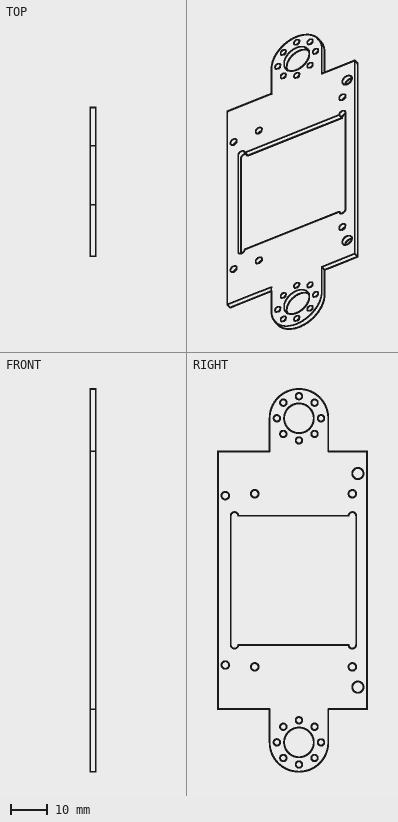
import cadquery as cq

thickness = 1.5
body_width = 40.5
body_height = 70.0
overall_height = 104.0
side_edge = body_width / 2

lug_radius = 8.0
lug_inset = 18.5
lug_y = side_edge - lug_inset
lug_z = overall_height / 2 - lug_radius
lug_bore_diameter = 8.0
lug_hole_diameter = 1.7
lug_hole_circle_radius = 6.0
lug_hole_count = 8

window_width = 34.0
window_height = 35.0
window_inset = 3.0
window_max_y = side_edge - window_inset
window_min_y = window_max_y - window_width
window_y = (window_max_y + window_min_y) / 2
relief_diameter = 2.0
relief_radius = relief_diameter / 2

small_hole_diameter = 2.0
inner_hole_z = 23.5
inner_hole_inset = 4.0
inner_max_y = side_edge - inner_hole_inset
inner_hole_spacing = 26.5
inner_min_y = inner_max_y - inner_hole_spacing
edge_hole_inset = 2.0
edge_hole_y = -side_edge + edge_hole_inset
edge_hole_z = 23.0
large_hole_diameter = 3.0
large_hole_inset = 2.5
large_hole_y = side_edge - large_hole_inset
large_hole_z = 29.0


def plate_plane(y=0.0, z=0.0):
    """Sketch plane on the -X face, with local axes along +Y and +Z."""
    return cq.Workplane("YZ", origin=(-thickness / 2, y, z))


def mirrored_points(y_positions, z):
    """Points at each Y position, both above and below Z = 0."""
    return [(y, side * z) for y in y_positions for side in (1, -1)]


def discs(points, diameter):
    """Full-thickness discs centred on the given points."""
    return plate_plane().pushPoints(points).circle(diameter / 2).extrude(thickness)


def make_outline():
    body = plate_plane().rect(body_width, body_height).extrude(thickness)
    lug_straights = plate_plane(lug_y).rect(2 * lug_radius, 2 * lug_z).extrude(thickness)
    lug_ends = discs(mirrored_points([lug_y], lug_z), 2 * lug_radius)
    return body.union(lug_straights).union(lug_ends)


def cut_lug_holes(plate):
    for side in (1, -1):
        lug_plane = plate_plane(lug_y, side * lug_z)
        bore = lug_plane.circle(lug_bore_diameter / 2).extrude(thickness)
        ring = (
            lug_plane.polarArray(lug_hole_circle_radius, 0, 360, lug_hole_count)
            .circle(lug_hole_diameter / 2)
            .extrude(thickness)
        )
        plate = plate.cut(bore).cut(ring)
    return plate


def cut_window(plate):
    opening = plate_plane(window_y).rect(window_width, window_height).extrude(thickness)
    relief_ys = [window_max_y - relief_radius, window_min_y + relief_radius]
    reliefs = discs(mirrored_points(relief_ys, window_height / 2), relief_diameter)
    return plate.cut(opening.union(reliefs))


def cut_mounting_holes(plate):
    inner_points = mirrored_points([inner_max_y, inner_min_y], inner_hole_z)
    edge_points = mirrored_points([edge_hole_y], edge_hole_z)
    large_points = mirrored_points([large_hole_y], large_hole_z)
    plate = plate.cut(discs(inner_points + edge_points, small_hole_diameter))
    return plate.cut(discs(large_points, large_hole_diameter))


plate = make_outline()
plate = cut_lug_holes(plate)
plate = cut_window(plate)
result = cut_mounting_holes(plate)